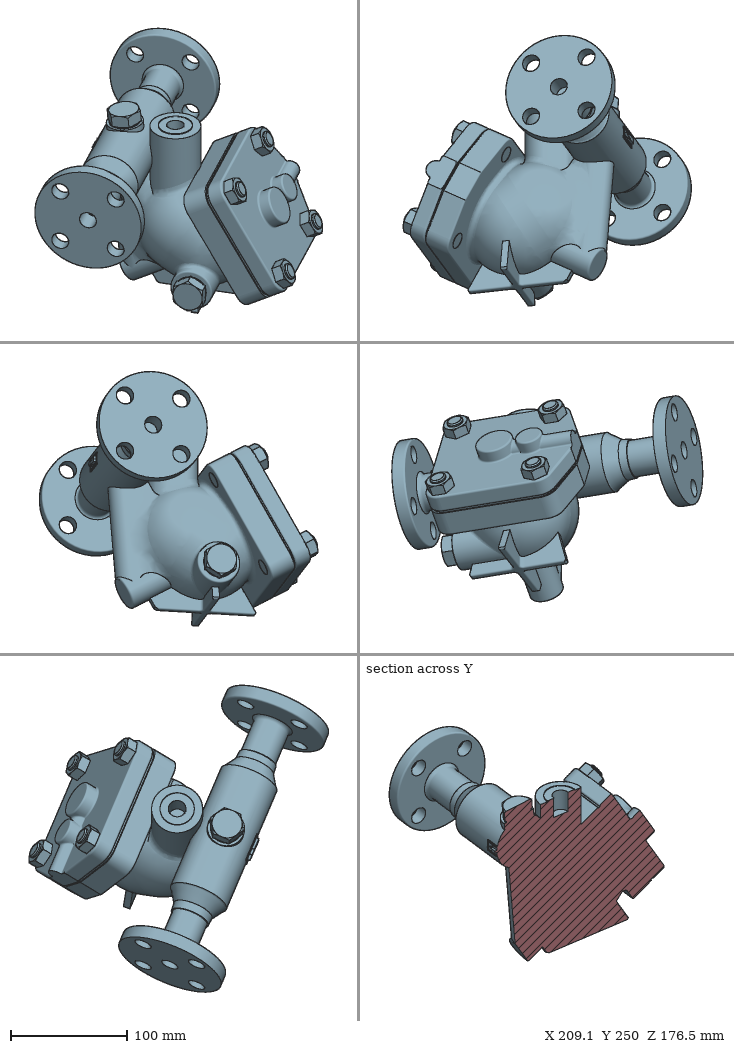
import cadquery as cq
import math

OVERLAP = 2.0

FACE_TO_FACE = 250.0
FLANGE_DIA = 95.0
FLANGE_THICKNESS = 12.0
FLANGE_EDGE_FILLET = 1.5
FLANGE_HOLE_DIA = 15.0
FLANGE_BOLT_CIRCLE = 70.0
FLANGE_HOLE_COUNT = 4
FLANGE_HOLE_START_ANGLE = 45.0
PORT_DIA = 15.0
PORT_DEPTH = 20.0
NECK_DIA = 32.0
HUB_DIA = 37.0
HUB_LENGTH = 4.0
HUB_ARC_RADIUS = 4.0
BARREL_DIA = 52.0
BARREL_HALF_LENGTH = 58.5
REDUCER_CORNER_DEPTH = 1.0
REDUCER_WAIST_DIA = 35.6
REDUCER_TIP_DIA = 34.4
REDUCER_WAIST_Y = 71.2
REDUCER_TIP_Y = 78.6

PANEL_LENGTH = 26.0
PANEL_HEIGHT = 10.5
PANEL_PROUD = 0.4
PANEL_RIM = 1.2
PANEL_RECESS = 0.3
ARROW_LENGTH = 21.0
ARROW_WIDTH = 5.0
ARROW_SHAFT_WIDTH = 2.8
ARROW_HEAD_LENGTH = 5.0
ARROW_PROUD = 2.4

PLUG_HEX_FLATS = 26.0
PLUG_HEX_CHAMFER = 1.2
PLUG_COLLAR_DIA = 27.0
PLUG_COLLAR_LENGTH = 1.0

LEG_DIA = 30.0
LEG_LEAN = 4.7
LEG_DOME_FILLET = 20.0
TOP_PLUG_BOSS_DIA = 32.0
TOP_PLUG_BOSS_TOP = 27.0
TOP_PLUG_END = 38.9

TILT = 30.0
DOME_LOW_X = 70.3
DOME_LOW_Z = -72.2
DOME_RADIUS = 46.3
DOME_STRETCH = 16.5

BRANCH_DIA = 30.0
BRANCH_END_X = 0.3
BRANCH_END_Z = -115.8
BRANCH_LENGTH = 60.0
BRANCH_END_FILLET = 1.8

INLET_X = 43.0
INLET_DIA = 44.0
INLET_TOP = 29.5
INLET_RING_DIA = 29.5
INLET_RING_HEIGHT = 0.8
INLET_HOLE_DIA = 15.0
INLET_HOLE_DEPTH = 20.0
INLET_FILLET = 8.0

DRAIN_X = 72.5
DRAIN_Z = -99.0
DRAIN_DIA = 37.0
DRAIN_END = 55.0
DRAIN_EDGE_FILLET = 1.5
DRAIN_DOME_FILLET = 3.0
DRAIN_PLUG_END = 66.2

STACK_X = 64.5
STACK_Z = -76.1
PLATE_HALF_SIDE = 57.75
PLATE_BULGE = 69.75
BULGE_FLAT_HALF = 14.0
BULGE_CORNER_OFFSET = 53.9
PLATE_CORNER_RADIUS = 14.0
BODY_FLANGE_BACK = 31.8
BODY_FLANGE_FRONT = 54.6
GASKET_INSET = 1.3
COVER_BACK = 56.2
COVER_FRONT = 71.5
COVER_EDGE_FILLET = 1.8
BODY_BACK_FILLET = 1.5
DOME_PLATE_FILLET = 4.0

STUD_OFFSET = 43.5
STUD_DIA = 14.0
STUD_CHAMFER = 1.2
STUD_END = 83.35
STUD_BACK_PROUD = 0.3
NUT_FLATS = 21.0
NUT_FRONT = 80.8
NUT_CHAMFER = 0.8

LARGE_PAD_DIA = 33.0
SMALL_PAD_DIA = 24.0
SMALL_PAD_Y = 31.7
PAD_FRONT = 83.0
PAD_EDGE_FILLET = 1.5
PAD_BASE_FILLET = 1.5
CHANNEL_RADIUS = 8.0

FOOT_BOTTOM = -129.0
RIB_THICKNESS = 6.0
RIB_CORNER_CHAMFER = 2.0
RIB_EDGE_FILLET = 1.5
RIB_JOINT_FILLET = 3.5
LONG_RIB_X_MIN = 28.5
LONG_RIB_X_MAX = 117.0
LONG_RIB_TOP = -95.0
CROSS_RIB_X = 72.3
CROSS_RIB_HALF_LENGTH = 44.5
CROSS_RIB_TOP_HALF = 30.0
CROSS_RIB_TOP = -73.0

TILT_COS = math.cos(math.radians(TILT))
TILT_SIN = math.sin(math.radians(TILT))
LEAN_TAN = math.tan(math.radians(LEG_LEAN))
LEAN_UP = (-math.sin(math.radians(LEG_LEAN)), 0, math.cos(math.radians(LEG_LEAN)))
TILT_DIR = (TILT_COS, 0, TILT_SIN)


def along_cover_axis(part):
    """Move a part drawn upright into place: its x becomes Y and its z points along the cover axis."""
    seat = cq.Plane(origin=(STACK_X, 0, STACK_Z), xDir=(0, 1, 0), normal=TILT_DIR)
    return part.newObject([part.val().moved(cq.Location(seat))])


def upright(height):
    return cq.Workplane("XY", origin=(0, 0, height))


def hexagon(plane, flats, height, turn, chamfer):
    """Hexagonal prism with its far corners rounded off; without a turn two corners lie on local x."""
    radius = flats / 2 / math.cos(math.radians(30))
    prism = plane.transformed(rotate=(0, 0, turn)).polygon(6, 2 * radius).extrude(height)
    blank = plane.circle(radius).extrude(height - chamfer)
    crown = plane.workplane(offset=height - chamfer).circle(radius).workplane(offset=chamfer).circle(flats / 2).loft()
    return prism.intersect(blank.union(crown))


def make_pipe():
    end = FACE_TO_FACE / 2
    flange_back = end - FLANGE_THICKNESS
    end_piece = (
        cq.Workplane("XY")
        .moveTo(0, BARREL_HALF_LENGTH)
        .lineTo(BARREL_DIA / 2, BARREL_HALF_LENGTH)
        .lineTo(BARREL_DIA / 2 - REDUCER_CORNER_DEPTH, BARREL_HALF_LENGTH + REDUCER_CORNER_DEPTH)
        .lineTo(REDUCER_WAIST_DIA / 2, REDUCER_WAIST_Y)
        .lineTo(REDUCER_TIP_DIA / 2, REDUCER_TIP_Y)
        .lineTo(NECK_DIA / 2, REDUCER_TIP_Y)
        .lineTo(NECK_DIA / 2, flange_back - HUB_LENGTH)
        .radiusArc((HUB_DIA / 2, flange_back), HUB_ARC_RADIUS)
        .lineTo(FLANGE_DIA / 2 - FLANGE_EDGE_FILLET, flange_back)
        .radiusArc((FLANGE_DIA / 2, flange_back + FLANGE_EDGE_FILLET), -FLANGE_EDGE_FILLET)
        .lineTo(FLANGE_DIA / 2, end)
        .lineTo(0, end)
        .close()
        .revolve(360, (0, 0, 0), (0, 1, 0))
    )
    barrel = cq.Workplane("XZ").circle(BARREL_DIA / 2).extrude(BARREL_HALF_LENGTH, both=True)
    return barrel.union(end_piece).union(end_piece.mirror("XZ"))


def flange_holes():
    end = FACE_TO_FACE / 2
    through = (
        cq.Workplane("XZ", origin=(0, end, 0))
        .polarArray(FLANGE_BOLT_CIRCLE / 2, FLANGE_HOLE_START_ANGLE, 360, FLANGE_HOLE_COUNT)
        .circle(FLANGE_HOLE_DIA / 2)
        .extrude(FACE_TO_FACE)
    )
    gap = cq.Workplane("XY").box(FLANGE_DIA, FACE_TO_FACE - 2 * FLANGE_THICKNESS, FLANGE_DIA)
    port = cq.Workplane("XZ", origin=(0, end, 0)).circle(PORT_DIA / 2).extrude(PORT_DEPTH)
    return through.cut(gap).union(port).union(port.mirror("XZ"))


def make_panel():
    radius = BARREL_DIA / 2
    depth = radius / 2
    face = cq.Workplane("YZ", origin=(-radius - PANEL_PROUD, 0, 0))
    panel = face.rect(PANEL_LENGTH, PANEL_HEIGHT).extrude(depth)
    recess = face.rect(PANEL_LENGTH - 2 * PANEL_RIM, PANEL_HEIGHT - 2 * PANEL_RIM).extrude(PANEL_RECESS)
    tip = ARROW_LENGTH / 2
    neck = tip - ARROW_HEAD_LENGTH
    arrow = (
        cq.Workplane("YZ", origin=(-radius - ARROW_PROUD, 0, 0))
        .moveTo(tip, 0)
        .lineTo(neck, ARROW_WIDTH / 2)
        .lineTo(neck, ARROW_SHAFT_WIDTH / 2)
        .lineTo(0, ARROW_SHAFT_WIDTH / 2)
        .lineTo(0, ARROW_WIDTH / 2)
        .lineTo(-tip, ARROW_WIDTH / 2)
        .lineTo(-tip + ARROW_WIDTH / 4, 0)
        .mirrorX()
        .extrude(depth)
    )
    return panel.cut(recess).union(arrow)


def capped_boss(axis, diameter, boss_end, plug_end, turn):
    """Round boss closed by a hexagon plug on a thin collar."""
    start = cq.Workplane(axis)
    boss = start.circle(diameter / 2).extrude(boss_end)
    collar = start.workplane(offset=boss_end).circle(PLUG_COLLAR_DIA / 2).extrude(PLUG_COLLAR_LENGTH)
    head_start = boss_end + PLUG_COLLAR_LENGTH
    seat = start.workplane(offset=head_start)
    head = hexagon(seat, PLUG_HEX_FLATS, plug_end - head_start, turn, PLUG_HEX_CHAMFER)
    return boss.union(collar).union(head)


def make_top_plug():
    axis = cq.Plane(origin=(0, 0, 0), xDir=(LEAN_UP[2], 0, -LEAN_UP[0]), normal=LEAN_UP)
    return capped_boss(axis, TOP_PLUG_BOSS_DIA, TOP_PLUG_BOSS_TOP, TOP_PLUG_END, 0)


def make_drain():
    axis = cq.Plane(origin=(DRAIN_X, 0, DRAIN_Z), xDir=(1, 0, 0), normal=(0, -1, 0))
    drain = capped_boss(axis, DRAIN_DIA, DRAIN_END, DRAIN_PLUG_END, 30)
    rim = cq.selectors.RadiusNthSelector(-1)
    return drain.faces(cq.selectors.NearestToPointSelector((DRAIN_X, -DRAIN_END, DRAIN_Z))).edges(rim).fillet(
        DRAIN_EDGE_FILLET)


def branch_plane():
    origin = (BRANCH_END_X, 0, BRANCH_END_Z)
    return cq.Workplane(cq.Plane(origin=origin, xDir=(0, 1, 0), normal=TILT_DIR))


def make_leg():
    slope = TILT_SIN / TILT_COS
    foot_z = (BRANCH_END_Z - slope * BRANCH_END_X) / (1 + slope * LEAN_TAN)
    foot = (-LEAN_TAN * foot_z, 0, foot_z)
    length = math.hypot(foot[0], foot[2])
    leg = cq.Workplane(cq.Plane(origin=foot, xDir=(0, 1, 0), normal=LEAN_UP)).circle(LEG_DIA / 2).extrude(length)
    return leg.cut(branch_plane().rect(2 * LEG_DIA, 2 * LEG_DIA).extrude(-LEG_DIA))


def make_branch():
    return (
        branch_plane()
        .circle(BRANCH_DIA / 2)
        .extrude(BRANCH_LENGTH)
        .faces("<X").edges().fillet(BRANCH_END_FILLET)
    )


def make_dome():
    low = (DOME_LOW_X, 0, DOME_LOW_Z)
    climb = (-TILT_COS, 0, TILT_SIN)
    high = tuple(start + DOME_STRETCH * step for start, step in zip(low, climb))
    barrel = cq.Workplane(cq.Plane(origin=low, xDir=(0, 1, 0), normal=climb)).circle(DOME_RADIUS).extrude(DOME_STRETCH)
    low_end = cq.Workplane("XY", origin=low).sphere(DOME_RADIUS)
    high_end = cq.Workplane("XY", origin=high).sphere(DOME_RADIUS)
    return barrel.union(low_end).union(high_end)


def make_inlet():
    return (
        cq.Workplane("XY", origin=(INLET_X, 0, INLET_TOP))
        .circle(INLET_DIA / 2)
        .extrude(DOME_LOW_Z - INLET_TOP)
    )


def cast_body():
    """Dome blended into the inlet boss, the leg, the drain boss and the body flange."""
    dome = make_dome()
    with_inlet = dome.union(make_inlet()).edges("%BSPLINE").fillet(INLET_FILLET)
    with_leg = dome.union(make_leg()).edges("%BSPLINE").fillet(LEG_DOME_FILLET)
    with_drain = dome.union(make_drain()).edges("%BSPLINE").fillet(DRAIN_DOME_FILLET)
    with_flange = dome.union(make_body_flange())
    back = with_flange.faces(cq.selectors.DirectionNthSelector(cq.Vector(*TILT_DIR), 0))
    joint = back.val().innerWires()[0].Edges()
    with_flange = with_flange.newObject(joint).fillet(DOME_PLATE_FILLET)
    return with_flange.union(with_leg).union(with_inlet).union(with_drain)


def inlet_ring():
    return (
        cq.Workplane("XY", origin=(INLET_X, 0, INLET_TOP - OVERLAP))
        .circle(INLET_RING_DIA / 2)
        .extrude(OVERLAP + INLET_RING_HEIGHT)
    )


def inlet_hole():
    top = INLET_TOP + INLET_RING_HEIGHT
    return cq.Workplane("XY", origin=(INLET_X, 0, top)).circle(INLET_HOLE_DIA / 2).extrude(-INLET_HOLE_DEPTH)


def plate(back, front, inset=0.0):
    """Upright square plate with rounded corners and a bulge on its +x side."""
    side = PLATE_HALF_SIDE - inset
    bulge = PLATE_BULGE - inset
    corner = BULGE_CORNER_OFFSET - inset
    outline = [
        (-side, -side),
        (corner, -side),
        (bulge, -BULGE_FLAT_HALF),
        (bulge, BULGE_FLAT_HALF),
        (corner, side),
        (-side, side),
    ]
    slab = upright(back).polyline(outline).close().extrude(front - back)
    return slab.edges("|Z").edges("<X or >Y or <Y").fillet(PLATE_CORNER_RADIUS)


def make_body_flange():
    slab = plate(BODY_FLANGE_BACK, BODY_FLANGE_FRONT)
    return along_cover_axis(slab.faces("<Z").edges().fillet(BODY_BACK_FILLET))


def make_gasket():
    return along_cover_axis(plate(BODY_FLANGE_FRONT - OVERLAP, COVER_BACK + OVERLAP, GASKET_INSET))


def make_pad(diameter, x):
    pad = upright(COVER_BACK).center(x, 0).circle(diameter / 2).extrude(PAD_FRONT - COVER_BACK)
    return pad.faces(">Z").edges().fillet(PAD_EDGE_FILLET)


def make_channel():
    return cq.Workplane("YZ", origin=(0, 0, COVER_FRONT)).circle(CHANNEL_RADIUS).extrude(PLATE_BULGE)


def make_cover():
    raised = make_channel().union(make_pad(LARGE_PAD_DIA, 0)).union(make_pad(SMALL_PAD_DIA, SMALL_PAD_Y))
    cover = plate(COVER_BACK, COVER_FRONT).union(raised)
    reach = LARGE_PAD_DIA / 2
    around_pads = cq.selectors.BoxSelector(
        (-reach, -reach, COVER_FRONT - OVERLAP),
        (PLATE_BULGE - OVERLAP, reach, COVER_FRONT + CHANNEL_RADIUS))
    cover = cover.edges(around_pads).fillet(PAD_BASE_FILLET)
    front = cq.selectors.NearestToPointSelector((-STUD_OFFSET, 0, COVER_FRONT))
    return along_cover_axis(cover.faces(front).edges().fillet(COVER_EDGE_FILLET))


def make_studs():
    """Four studs; on diagonal neighbours the nuts come to rest at the same turn."""
    studs = cq.Workplane("XY")
    back = BODY_FLANGE_BACK - STUD_BACK_PROUD
    for side in (-1, 1):
        for level in (-1, 1):
            x = side * STUD_OFFSET
            y = level * STUD_OFFSET
            stud = upright(back).center(x, y).circle(STUD_DIA / 2).extrude(STUD_END - back)
            stud = stud.faces(">Z").edges().chamfer(STUD_CHAMFER)
            seat_height = COVER_FRONT - OVERLAP
            turn = 0 if side == level else 30
            nut = hexagon(upright(seat_height).center(x, y), NUT_FLATS, NUT_FRONT - seat_height, turn, NUT_CHAMFER)
            studs = studs.union(along_cover_axis(stud)).union(along_cover_axis(nut))
    return studs


def make_foot():
    lean = TILT_SIN / TILT_COS
    shift = (LONG_RIB_TOP - FOOT_BOTTOM) * lean
    long_rib = (
        cq.Workplane("XZ", origin=(0, RIB_THICKNESS / 2, 0))
        .moveTo(LONG_RIB_X_MIN, FOOT_BOTTOM)
        .lineTo(LONG_RIB_X_MAX, FOOT_BOTTOM)
        .lineTo(LONG_RIB_X_MAX - shift, LONG_RIB_TOP)
        .lineTo(LONG_RIB_X_MIN - shift, LONG_RIB_TOP)
        .close()
        .extrude(RIB_THICKNESS)
    )
    cross_rib = (
        cq.Workplane("YZ", origin=(CROSS_RIB_X - RIB_THICKNESS / 2, 0, 0))
        .moveTo(-CROSS_RIB_HALF_LENGTH, FOOT_BOTTOM)
        .lineTo(CROSS_RIB_HALF_LENGTH, FOOT_BOTTOM)
        .lineTo(CROSS_RIB_TOP_HALF, CROSS_RIB_TOP)
        .lineTo(-CROSS_RIB_TOP_HALF, CROSS_RIB_TOP)
        .close()
        .extrude(RIB_THICKNESS)
    )
    bottom_face = cq.selectors.DirectionMinMaxSelector(cq.Vector(0, 0, 1), False)
    long_rib = long_rib.faces(bottom_face).edges("|Y").chamfer(RIB_CORNER_CHAMFER)
    cross_rib = cross_rib.faces(bottom_face).edges("|X").chamfer(RIB_CORNER_CHAMFER)
    near_crossing = cq.selectors.BoxSelector(
        (CROSS_RIB_X - RIB_THICKNESS, -RIB_THICKNESS, FOOT_BOTTOM + 1),
        (CROSS_RIB_X + RIB_THICKNESS, RIB_THICKNESS, CROSS_RIB_TOP - 1))
    foot = long_rib.union(cross_rib).edges("|Z").edges(near_crossing).fillet(RIB_JOINT_FILLET)
    return foot.faces("<Z").edges().fillet(RIB_EDGE_FILLET)


body = cast_body()
for piece in (
    make_gasket(),
    make_cover(),
    make_studs(),
    make_branch(),
    make_foot(),
    inlet_ring(),
    make_pipe(),
    make_panel(),
    make_top_plug(),
):
    body = body.union(piece)

result = body.cut(flange_holes()).cut(inlet_hole())